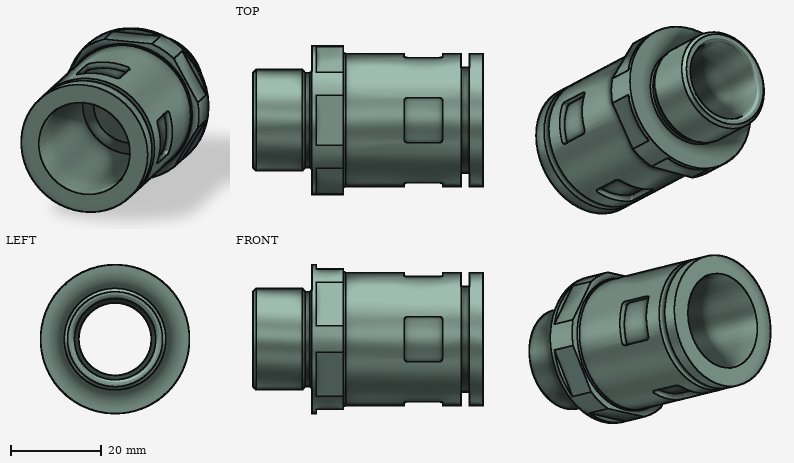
import cadquery as cq
import math

length = 51.0
thread_end = 10.95
flange_start = 13.05
hex_start = 14.1
hex_end = 20.05
body_start = 20.55
groove_start = 46.1
groove_end = 47.95

thread_diameter = 22.5
relief_diameter = 21.0
flange_diameter = 33.0
body_diameter = 29.5
groove_diameter = 23.4

thread_chamfer = (thread_diameter - relief_diameter) / 2
relief_taper = 0.65
relief_flare = 0.4
collar_step = 0.2
hex_across_flats = 31.05
hex_sides = 6

window_start = 33.5
window_end = 42.0
window_width = 10.0
window_corner_radius = 0.8
window_floor_diameter = 26.7
window_count = 4

inlet_diameter = 18.0
inlet_rounding = 0.9
throat_diameter = 16.0
throat_start = 9.7
throat_lead_length = 0.3
throat_lead_depth = 0.025
socket_diameter = 21.2
socket_start = hex_end


def revolve_about_x(profile):
    return profile.close().revolve(360, (0, 0, 0), (1, 0, 0))


def outer_body():
    thread_radius = thread_diameter / 2
    relief_radius = relief_diameter / 2
    flange_radius = flange_diameter / 2
    body_radius = body_diameter / 2
    groove_radius = groove_diameter / 2
    profile = (
        cq.Workplane("XY")
        .moveTo(0, 0)
        .lineTo(0, thread_radius - thread_chamfer)
        .lineTo(thread_chamfer, thread_radius)
        .lineTo(thread_end, thread_radius)
        .lineTo(thread_end + relief_taper, relief_radius)
        .lineTo(flange_start - relief_flare, relief_radius)
        .lineTo(flange_start, relief_radius + relief_flare)
        .lineTo(flange_start, flange_radius)
        .lineTo(hex_end, flange_radius)
        .lineTo(hex_end, body_radius + collar_step)
        .lineTo(body_start, body_radius)
        .lineTo(groove_start, body_radius)
        .lineTo(groove_start, groove_radius)
        .lineTo(groove_end, groove_radius)
        .lineTo(groove_end, body_radius)
        .lineTo(length, body_radius)
        .lineTo(length, 0)
    )
    return revolve_about_x(profile)


def bore():
    inlet_radius = inlet_diameter / 2
    throat_radius = throat_diameter / 2
    socket_radius = socket_diameter / 2
    arc_offset = inlet_rounding * (1 - math.sqrt(0.5))
    profile = (
        cq.Workplane("XY")
        .moveTo(0, 0)
        .lineTo(0, inlet_radius + inlet_rounding)
        .threePointArc((arc_offset, inlet_radius + arc_offset), (inlet_rounding, inlet_radius))
        .lineTo(throat_start, inlet_radius)
        .lineTo(throat_start + throat_lead_length, inlet_radius - throat_lead_depth)
        .lineTo(socket_start, throat_radius)
        .lineTo(socket_start, socket_radius)
        .lineTo(length, socket_radius)
        .lineTo(length, 0)
    )
    return revolve_about_x(profile)


def wrench_flat_cutter():
    """Ring around a hexagonal prism with flats facing +Z and -Z."""
    hex_corner_diameter = hex_across_flats / math.cos(math.pi / hex_sides)
    return (
        cq.Workplane("YZ", origin=(hex_start, 0, 0))
        .circle(flange_diameter)
        .polygon(hex_sides, hex_corner_diameter)
        .extrude(hex_end - hex_start)
    )


def window_cutter():
    """Rounded rectangle facing +Z with a cylindrical floor about the X axis."""
    window_length = window_end - window_start
    block = (
        cq.Workplane("XY", origin=((window_start + window_end) / 2, 0, 0))
        .rect(window_length, window_width)
        .extrude(body_diameter)
        .edges("|Z")
        .fillet(window_corner_radius)
    )
    floor = cq.Workplane("YZ").circle(window_floor_diameter / 2).extrude(length)
    return block.cut(floor)


result = outer_body().cut(wrench_flat_cutter())
for index in range(window_count):
    angle = index * 360 / window_count
    result = result.cut(window_cutter().rotate((0, 0, 0), (1, 0, 0), angle))
result = result.cut(bore())